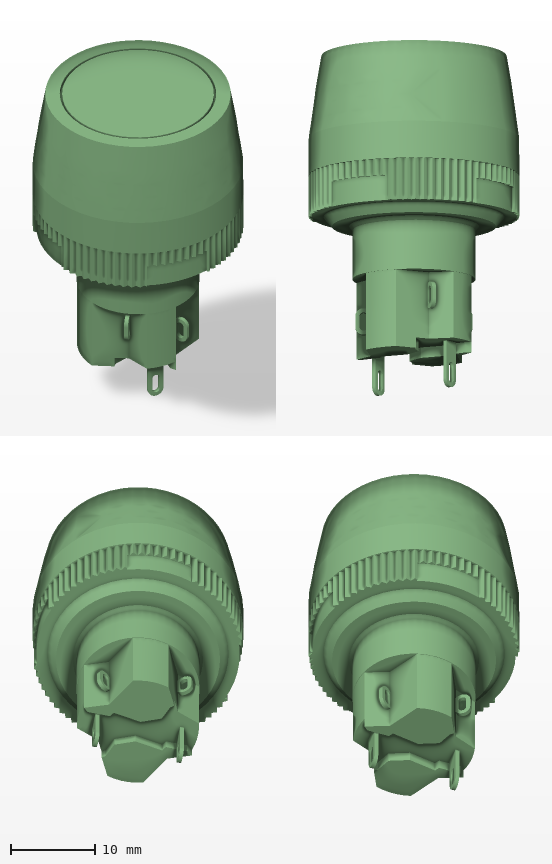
import cadquery as cq
import math

TOP_Z = 40.4
DOME_BASE_Z = 30.4
KNURL_TOP_Z = 25.95
RELIEF_TOP_Z = 24.0
KNURL_BASE_Z = 21.0
FLANGE_BASE_Z = 19.85
NECK_TOP_Z = 19.4
LOBE_TOP_Z = 13.5
RECESS_TOP_Z = 5.5
BODY_BASE_Z = 4.25

HEAD_RADIUS = 25.0 / 2
DOME_TOP_RADIUS = 22.0 / 2
DOME_BULGE = 0.1
KNURL_ROOT_RADIUS = 12.07
FLANGE_RADIUS = 21.5 / 2
FLANGE_BASE_RADIUS = 9.75
COLLAR_RADIUS = 7.7
NECK_RADIUS = 14.6 / 2
LOBE_RADIUS = 14.5 / 2

GROOVE_OUTER_RADIUS = 18.57 / 2
GROOVE_INNER_RADIUS = 18.0 / 2
GROOVE_DEPTH = 0.6

TOOTH_COUNT = 78
FIRST_TOOTH_ANGLE = 0.92
RELIEF_WIDTH = 7.8

SIDE_LOBE_HALF_WIDTH = 1.9
FRONT_LOBE_HALF_WIDTH = 2.2
CHANNEL_ROOT_X = 4.2
CHANNEL_ROOT_Y = 3.0

FOOT_END = (-3.45, 4.55)
FOOT_SHOULDER = (-3.0, 4.2)
FOOT_INNER_CORNER = (-2.35, 2.42)
FOOT_NICK = (3.4, 1.98)
SLOT_HALF_WIDTH = 1.4
SLOT_LEDGE_X = 3.7
SLOT_MOUTH_X = 6.42

TERMINAL_THICKNESS = 0.5
TERMINAL_WIDTH = 1.95
EYE_WIDTH = 0.93
EYE_MARGIN = (TERMINAL_WIDTH - EYE_WIDTH) / 2
PIN_X = 5.13
PIN_EYE_HEIGHT = 2.5
PIN_EMBEDDED_LENGTH = 0.8
TAB_HEIGHT = 3.2
TAB_X = 4.9
TAB_Y = 3.47
TAB_ANGLE = 34.0
TAB_LOW_Z = 8.35
TAB_HIGH_Z = 10.6


def polar(radius, angle):
    return (radius * math.cos(angle), radius * math.sin(angle))


def head_and_neck():
    dome_middle = (
        (HEAD_RADIUS + DOME_TOP_RADIUS) / 2 + DOME_BULGE,
        (DOME_BASE_Z + TOP_Z) / 2,
    )
    body = (
        cq.Workplane("XZ")
        .moveTo(0, LOBE_TOP_Z)
        .lineTo(NECK_RADIUS, LOBE_TOP_Z)
        .lineTo(NECK_RADIUS, NECK_TOP_Z)
        .lineTo(COLLAR_RADIUS, FLANGE_BASE_Z)
        .lineTo(FLANGE_BASE_RADIUS, FLANGE_BASE_Z)
        .lineTo(FLANGE_RADIUS, KNURL_BASE_Z)
        .lineTo(KNURL_ROOT_RADIUS, KNURL_BASE_Z)
        .lineTo(KNURL_ROOT_RADIUS, KNURL_TOP_Z)
        .lineTo(HEAD_RADIUS, KNURL_TOP_Z)
        .lineTo(HEAD_RADIUS, DOME_BASE_Z)
        .threePointArc(dome_middle, (DOME_TOP_RADIUS, TOP_Z))
        .lineTo(0, TOP_Z)
        .close()
        .revolve(360, (0, 0, 0), (0, 1, 0))
    )
    groove = (
        cq.Workplane("XY", origin=(0, 0, TOP_Z - GROOVE_DEPTH))
        .circle(GROOVE_OUTER_RADIUS)
        .circle(GROOVE_INNER_RADIUS)
        .extrude(GROOVE_DEPTH)
    )
    return body.cut(groove)


def knurl():
    pitch = 2 * math.pi / TOOTH_COUNT
    outline = []
    for tooth in range(TOOTH_COUNT):
        crest = math.radians(FIRST_TOOTH_ANGLE) + tooth * pitch
        outline.append(polar(HEAD_RADIUS, crest))
        outline.append(polar(KNURL_ROOT_RADIUS, crest + pitch / 2))
    ring = (
        cq.Workplane("XY", origin=(0, 0, KNURL_BASE_Z))
        .polyline(outline)
        .close()
        .extrude(KNURL_TOP_Z - KNURL_BASE_Z)
    )
    relief_height = RELIEF_TOP_Z - KNURL_BASE_Z
    relief_plane = cq.Workplane("XY", origin=(0, 0, KNURL_BASE_Z))
    bar_length = 3 * HEAD_RADIUS
    bars = relief_plane.rect(bar_length, RELIEF_WIDTH).extrude(relief_height)
    bars = bars.union(relief_plane.rect(RELIEF_WIDTH, bar_length).extrude(relief_height))
    core = relief_plane.circle(KNURL_ROOT_RADIUS).extrude(relief_height)
    return ring.cut(bars.cut(core))


def lobed_body():
    height = LOBE_TOP_Z - BODY_BASE_Z
    base = cq.Workplane("XY", origin=(0, 0, BODY_BASE_Z))
    body = base.circle(LOBE_RADIUS).extrude(height)
    side_x = math.sqrt(LOBE_RADIUS**2 - SIDE_LOBE_HALF_WIDTH**2)
    front_y = math.sqrt(LOBE_RADIUS**2 - FRONT_LOBE_HALF_WIDTH**2)
    far = 2 * LOBE_RADIUS
    for sx in (-1, 1):
        for sy in (-1, 1):
            outline = [
                (sx * side_x, sy * SIDE_LOBE_HALF_WIDTH),
                (sx * CHANNEL_ROOT_X, sy * CHANNEL_ROOT_Y),
                (sx * FRONT_LOBE_HALF_WIDTH, sy * front_y),
                (sx * FRONT_LOBE_HALF_WIDTH, sy * far),
                (sx * far, sy * far),
                (sx * far, sy * SIDE_LOBE_HALF_WIDTH),
            ]
            body = body.cut(base.polyline(outline).close().extrude(height))
    return body.cut(underside_recess(side_x))


def underside_recess(side_x):
    foot_edge = [
        FOOT_END,
        FOOT_SHOULDER,
        FOOT_INNER_CORNER,
        (0, SLOT_HALF_WIDTH),
        FOOT_NICK,
        (SLOT_LEDGE_X, SLOT_HALF_WIDTH),
        (SLOT_MOUTH_X, SLOT_HALF_WIDTH),
        (side_x, SIDE_LOBE_HALF_WIDTH),
    ]
    far = 2 * LOBE_RADIUS
    half = foot_edge + [(far, SIDE_LOBE_HALF_WIDTH), (far, -FOOT_END[1])]
    outline = half + [(-x, -y) for x, y in half]
    return (
        cq.Workplane("XY", origin=(0, 0, BODY_BASE_Z))
        .polyline(outline)
        .close()
        .extrude(RECESS_TOP_Z - BODY_BASE_Z)
    )


def pin(x):
    """Long terminal with a round tip, standing in the YZ plane."""
    radius = TERMINAL_WIDTH / 2
    top = RECESS_TOP_Z + PIN_EMBEDDED_LENGTH
    eye_z = EYE_MARGIN + PIN_EYE_HEIGHT / 2
    blade = (
        cq.Workplane("YZ")
        .moveTo(-radius, top)
        .lineTo(-radius, radius)
        .threePointArc((0, 0), (radius, radius))
        .lineTo(radius, top)
        .close()
        .extrude(TERMINAL_THICKNESS / 2, both=True)
    )
    eye = (
        cq.Workplane("YZ")
        .center(0, eye_z)
        .slot2D(PIN_EYE_HEIGHT, EYE_WIDTH, 90)
        .extrude(TERMINAL_THICKNESS, both=True)
    )
    return blade.cut(eye).translate((x, 0, 0))


def tab(sx, sy, z):
    """Short stadium-shaped terminal rooted in one corner channel."""
    blade = (
        cq.Workplane("XZ")
        .slot2D(TAB_HEIGHT, TERMINAL_WIDTH, 90)
        .slot2D(TAB_HEIGHT - 2 * EYE_MARGIN, EYE_WIDTH, 90)
        .extrude(TERMINAL_THICKNESS / 2, both=True)
    )
    turned = blade.rotate((0, 0, 0), (0, 0, 1), sx * sy * TAB_ANGLE)
    return turned.translate((sx * TAB_X, sy * TAB_Y, z))


result = head_and_neck().union(knurl()).union(lobed_body())
for side in (-1, 1):
    result = result.union(pin(side * PIN_X))
    result = result.union(tab(side, side, TAB_LOW_Z))
    result = result.union(tab(side, -side, TAB_HIGH_Z))